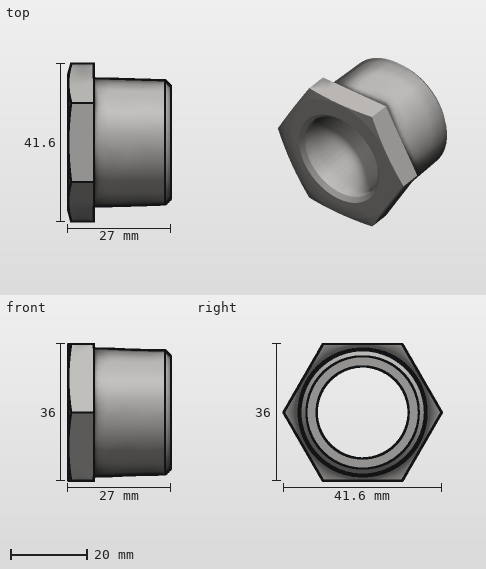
import cadquery as cq
import math

ACROSS_CORNERS = 41.55
HEAD_LENGTH = 6.75
HEAD_FACE_DIAMETER = 35.6
HEAD_BEVEL_ANGLE = 15.0

TOTAL_LENGTH = 27.0
COLLAR_DIAMETER = 33.65
COLLAR_END = 10.25
TAPER_RATIO = 1 / 16
TIP_CHAMFER = 1.6
ROOT_FILLET = 0.35

BORE_DIAMETER = 24.1
COUNTERSINK_DIAMETER = 26.4


def revolve_about_x(profile):
    """Close a half profile drawn in the XY plane and turn it about the X axis."""
    return profile.close().revolve(360, (0, 0, 0), (1, 0, 0))


def make_head():
    """Hexagon with corners on +/-Y, its front corners bevelled by a cone."""
    hexagon = (
        cq.Workplane("YZ")
        .polygon(6, ACROSS_CORNERS)
        .extrude(HEAD_LENGTH)
    )
    face_radius = HEAD_FACE_DIAMETER / 2
    bevel_slope = math.tan(math.radians(HEAD_BEVEL_ANGLE))
    cone_end_radius = face_radius + HEAD_LENGTH / bevel_slope
    bevel_cone = revolve_about_x(
        cq.Workplane("XY")
        .lineTo(0, face_radius)
        .lineTo(HEAD_LENGTH, cone_end_radius)
        .lineTo(HEAD_LENGTH, 0)
    )
    return hexagon.intersect(bevel_cone)


def make_spigot():
    """Collar with a root fillet, a tapered length and a chamfered tip."""
    collar_radius = COLLAR_DIAMETER / 2
    taper_end = TOTAL_LENGTH - TIP_CHAMFER
    taper_end_radius = collar_radius - (taper_end - COLLAR_END) * TAPER_RATIO / 2
    return revolve_about_x(
        cq.Workplane("XY")
        .moveTo(HEAD_LENGTH, 0)
        .lineTo(HEAD_LENGTH, collar_radius + ROOT_FILLET)
        .radiusArc((HEAD_LENGTH + ROOT_FILLET, collar_radius), -ROOT_FILLET)
        .lineTo(COLLAR_END, collar_radius)
        .lineTo(taper_end, taper_end_radius)
        .lineTo(TOTAL_LENGTH, taper_end_radius - TIP_CHAMFER)
        .lineTo(TOTAL_LENGTH, 0)
    )


def make_bore():
    """Through bore with a 45 degree countersink at the head face."""
    bore_radius = BORE_DIAMETER / 2
    countersink_radius = COUNTERSINK_DIAMETER / 2
    countersink_depth = countersink_radius - bore_radius
    return revolve_about_x(
        cq.Workplane("XY")
        .lineTo(0, countersink_radius)
        .lineTo(countersink_depth, bore_radius)
        .lineTo(TOTAL_LENGTH, bore_radius)
        .lineTo(TOTAL_LENGTH, 0)
    )


result = make_head().union(make_spigot()).cut(make_bore())